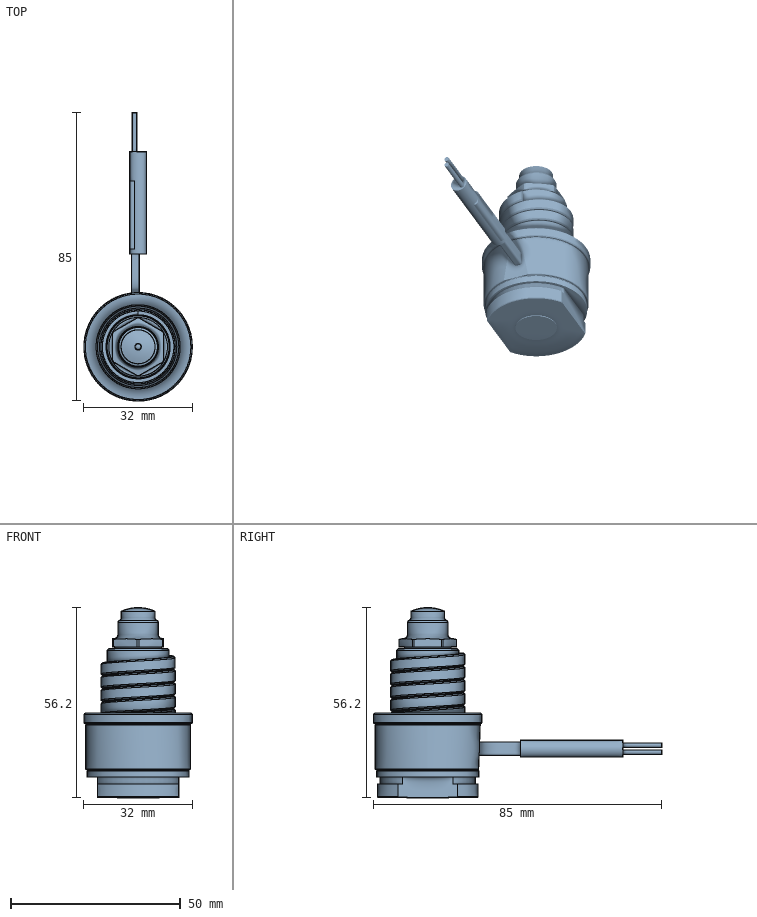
import cadquery as cq
import math

pad_radius = 6.1
foot_bottom = 0.25
foot_radius = 14.9
foot_chamfer = 0.2
foot_top = 4.2
waist_radius = 14.1
flats_width = 24.0
seat_bottom = 6.2
seat_radius = 15.05

drum_bottom = 8.3
drum_radius = 15.5
rim_bottom = 22.0
rim_top = 25.15
rim_radius = 16.0
rim_chamfer = 0.45
relief_height = 0.2
lower_relief_radius = 14.85
upper_relief_radius = 15.3
edge_chamfer = 0.25
drum_chamfer = 0.15

slope_top_y = drum_radius
slope_bottom_y = drum_radius - 0.5

recess_radius = 12.0
recess_ledge = 22.0
spring_seat_radius = 11.4
recess_floor = 20.0
recess_chamfer = 0.4

core_radius = 9.15
core_top = 44.1
core_chamfer = 0.5
neck_radius = 6.9
hex_bottom = 44.6
hex_top = 47.1
hex_across_flats = 15.0
hex_corner_radius = 8.5
hex_crown_drop = 0.3
shank_radius = 6.0
shank_fillet = 1.05
shank_top = 52.4
shank_chamfer = 0.55
tip_radius = 5.0
tip_fillet = 0.7
dome_base = 55.1
dome_top = 56.2
ball_radius = 0.95
ball_pocket_depth = 0.6

spring_outer_radius = 10.95
spring_inner_radius = core_radius - 0.1
spring_wire_height = 3.6
spring_wire_chamfer = 0.4
spring_pitch = 3.87
spring_turns = 5
spring_top = 42.75
spring_end_angle = 90

cable_z = 14.6
cable_min_x = -2.0
cable_width = 2.4
cable_height = 4.05
cable_fillet = 0.6
cable_start_y = 12.0
sleeve_radius = 2.5
sleeve_start_y = 27.3
sleeve_end_y = 57.5
label_start_y = 28.9
label_end_y = 48.9
label_thickness = 1.4
label_height = 4.8
label_fillet = 1.0
lead_radius = 0.7
lead_x = -1.05
lead_spacing = 2.05
lead_end_y = 69.0


def disc(radius, bottom, top):
    return cq.Workplane("XY").workplane(offset=bottom).circle(radius).extrude(top - bottom)


def across_cable(x, y):
    """XZ sketch plane centred at height cable_z; its normal is -Y, so +Y lengths are negative."""
    return cq.Workplane("XZ", origin=(x, y, cable_z))


def make_base():
    pad = disc(pad_radius, 0, foot_bottom)
    foot = disc(foot_radius, foot_bottom, foot_top).faces("<Z").chamfer(foot_chamfer)
    waist = disc(waist_radius, foot_top, seat_bottom)
    flats = cq.Workplane("XY").rect(flats_width, 2 * rim_radius).extrude(seat_bottom)
    seat = disc(seat_radius, seat_bottom, drum_bottom).faces(">Z").chamfer(edge_chamfer)
    return foot.union(waist).intersect(flats).union(pad).union(seat)


def make_drum():
    drum_start = drum_bottom + relief_height
    drum_end = rim_bottom - relief_height
    drum = disc(drum_radius, drum_start, drum_end).edges().chamfer(drum_chamfer)
    slope = (
        cq.Workplane("YZ")
        .moveTo(slope_bottom_y, drum_bottom)
        .lineTo(slope_top_y, rim_bottom)
        .lineTo(rim_radius, rim_bottom)
        .lineTo(rim_radius, drum_bottom)
        .close()
        .extrude(rim_radius, both=True)
    )
    return drum.cut(slope)


def make_housing():
    rim = disc(rim_radius, rim_bottom, rim_top)
    rim = rim.faces(">Z").chamfer(rim_chamfer).faces("<Z").chamfer(edge_chamfer)
    lower_relief = disc(lower_relief_radius, drum_bottom, drum_bottom + 2 * relief_height)
    upper_relief = disc(upper_relief_radius, rim_bottom - 2 * relief_height, rim_bottom)
    recess = disc(recess_radius, recess_ledge, rim_top)
    spring_seat = disc(spring_seat_radius, recess_floor, recess_ledge)
    recess_mouth = (
        cq.Workplane("XY")
        .workplane(offset=rim_top)
        .circle(recess_radius + recess_chamfer)
        .extrude(-recess_chamfer, taper=45)
    )
    housing = make_drum().union(lower_relief).union(upper_relief).union(rim)
    return housing.cut(recess).cut(spring_seat).cut(recess_mouth)


def make_hexagon():
    hex_diameter = hex_across_flats / math.cos(math.pi / 6)
    hexagon = (
        cq.Workplane("XY")
        .workplane(offset=hex_bottom)
        .transformed(rotate=(0, 0, 90))
        .polygon(6, hex_diameter)
        .extrude(hex_top - hex_bottom)
    )
    crown_run = hex_corner_radius - shank_radius - shank_fillet
    crown = disc(hex_corner_radius, hex_bottom, hex_top).faces(">Z").edges()
    crown = crown.chamfer(hex_crown_drop, crown_run)
    return hexagon.intersect(crown)


def make_shank_and_tip():
    """Revolved profile above the hexagon: fillet, shank, chamfer, neck fillet, tip and dome."""
    tip_start = shank_top + tip_fillet
    corner = math.sqrt(0.5)
    dome_rise = dome_top - dome_base
    dome_radius = (tip_radius**2 + dome_rise**2) / (2 * dome_rise)
    half_angle = math.asin(tip_radius / dome_radius) / 2
    dome_middle = (
        dome_radius * math.sin(half_angle),
        dome_top - dome_radius * (1 - math.cos(half_angle)),
    )
    shank_fillet_middle = (
        shank_radius + shank_fillet * (1 - corner),
        hex_top + shank_fillet * (1 - corner),
    )
    tip_fillet_middle = (
        tip_radius + tip_fillet * (1 - corner),
        tip_start - tip_fillet * corner,
    )
    tip_fillet_end = tip_radius + tip_fillet
    profile = (
        cq.Workplane("XZ")
        .moveTo(0, hex_top)
        .lineTo(shank_radius + shank_fillet, hex_top)
        .threePointArc(shank_fillet_middle, (shank_radius, hex_top + shank_fillet))
        .lineTo(shank_radius, shank_top - shank_chamfer)
        .lineTo(tip_fillet_end, shank_top)
        .threePointArc(tip_fillet_middle, (tip_radius, tip_start))
        .lineTo(tip_radius, dome_base)
        .threePointArc(dome_middle, (0, dome_top))
        .close()
    )
    return profile.revolve(360, (0, 0), (0, 1))


def make_plunger():
    core = disc(core_radius, recess_floor, core_top).faces(">Z").chamfer(core_chamfer)
    neck = disc(neck_radius, core_top, hex_bottom)
    plunger = core.union(neck).union(make_hexagon()).union(make_shank_and_tip())
    ball_pocket = disc(ball_radius, dome_top - ball_pocket_depth, dome_top)
    ball = cq.Workplane("XY").sphere(ball_radius).translate((0, 0, dome_top - ball_radius))
    return plunger.cut(ball_pocket).union(ball)


def make_spring():
    height = spring_turns * spring_pitch
    middle_radius = (spring_outer_radius + spring_inner_radius) / 2
    path = cq.Workplane(obj=cq.Wire.makeHelix(spring_pitch, height, middle_radius))
    wire_section = (
        cq.Sketch()
        .rect(spring_outer_radius - spring_inner_radius, spring_wire_height)
        .vertices()
        .chamfer(spring_wire_chamfer)
    )
    section_plane = cq.Workplane("XZ").center(middle_radius, 0)
    coil = section_plane.placeSketch(wire_section).sweep(path, isFrenet=True)
    start_z = spring_top - spring_wire_height / 2 - height
    return coil.rotate((0, 0, 0), (0, 0, 1), spring_end_angle).translate((0, 0, start_z))


def make_cable():
    cable_x = cable_min_x + cable_width / 2
    cable_section = across_cable(cable_x, cable_start_y).rect(cable_width, cable_height)
    cable = cable_section.extrude(cable_start_y - sleeve_start_y).edges("|Y").fillet(cable_fillet)
    sleeve_section = across_cable(0, sleeve_start_y).circle(sleeve_radius)
    sleeve = sleeve_section.extrude(sleeve_start_y - sleeve_end_y)
    label_x = -sleeve_radius + label_thickness / 2
    label_section = across_cable(label_x, label_start_y).rect(label_thickness, label_height)
    label = label_section.extrude(label_start_y - label_end_y)
    label = label.edges("|Y and <X").fillet(label_fillet)
    lead_places = [(0, lead_spacing / 2), (0, -lead_spacing / 2)]
    lead_sections = across_cable(lead_x, sleeve_end_y).pushPoints(lead_places).circle(lead_radius)
    leads = lead_sections.extrude(sleeve_end_y - lead_end_y)
    return cable.union(sleeve).union(label).union(leads)


housing = make_base().union(make_housing())
result = housing.union(make_plunger()).union(make_spring()).union(make_cable())